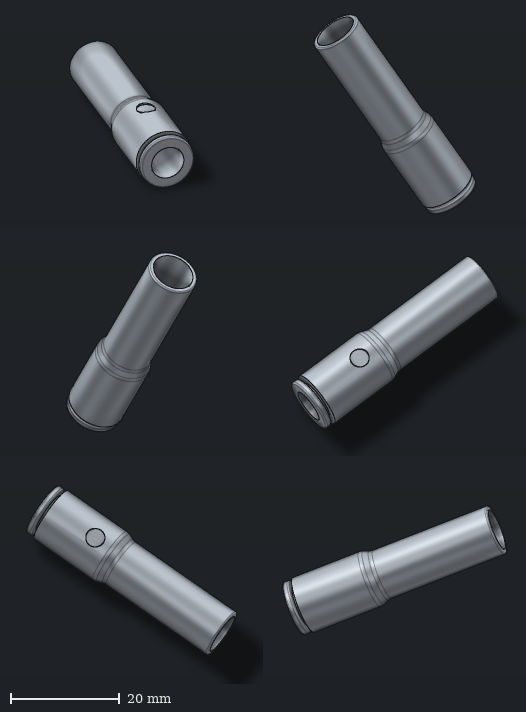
import cadquery as cq

total_length = 40.9
flare_start = 23.0
cone_start = 23.73
cone_end = 24.8
body_start = 25.53
body_end = 38.95
collar_start = 39.6

tube_radius = 4.8
cone_start_radius = 4.9
cone_end_radius = 5.3
body_diameter = 10.92
body_radius = body_diameter / 2
neck_radius = 3.75
collar_radius = 5.25

tube_bore_radius = 3.9
through_bore_radius = 3.15
tube_bore_depth = flare_start

tube_end_fillet = 0.3
collar_fillet = 0.33

recess_x = 28.9
recess_radius = 1.75
recess_floor_z = 5.1


def make_outer_sleeve():
    """Tube, flared transition and body, turned around the X axis."""
    profile = (
        cq.Workplane("XY")
        .lineTo(0, tube_radius)
        .lineTo(flare_start, tube_radius)
        .tangentArcPoint((cone_start, cone_start_radius), relative=False)
        .lineTo(cone_end, cone_end_radius)
        .tangentArcPoint((body_start, body_radius), relative=False)
        .lineTo(body_end, body_radius)
        .lineTo(body_end, 0)
        .close()
    )
    sleeve = profile.revolve(360, (0, 0, 0), (1, 0, 0))
    return sleeve.faces("<X").edges().fillet(tube_end_fillet)


def cylinder_along_x(radius, start, end):
    return cq.Workplane("YZ", origin=(start, 0, 0)).circle(radius).extrude(end - start)


def make_release_collar():
    """Narrow neck carrying the rounded collar at the +X end."""
    neck = cylinder_along_x(neck_radius, body_end, collar_start)
    collar = cylinder_along_x(collar_radius, collar_start, total_length)
    collar = collar.faces("<X or >X").edges().fillet(collar_fillet)
    return neck.union(collar)


def make_recess():
    return (
        cq.Workplane("XY", origin=(recess_x, 0, recess_floor_z))
        .circle(recess_radius)
        .extrude(body_radius - recess_floor_z)
    )


result = (
    make_outer_sleeve()
    .union(make_release_collar())
    .cut(cylinder_along_x(through_bore_radius, 0, total_length))
    .cut(cylinder_along_x(tube_bore_radius, 0, tube_bore_depth))
    .cut(make_recess())
)